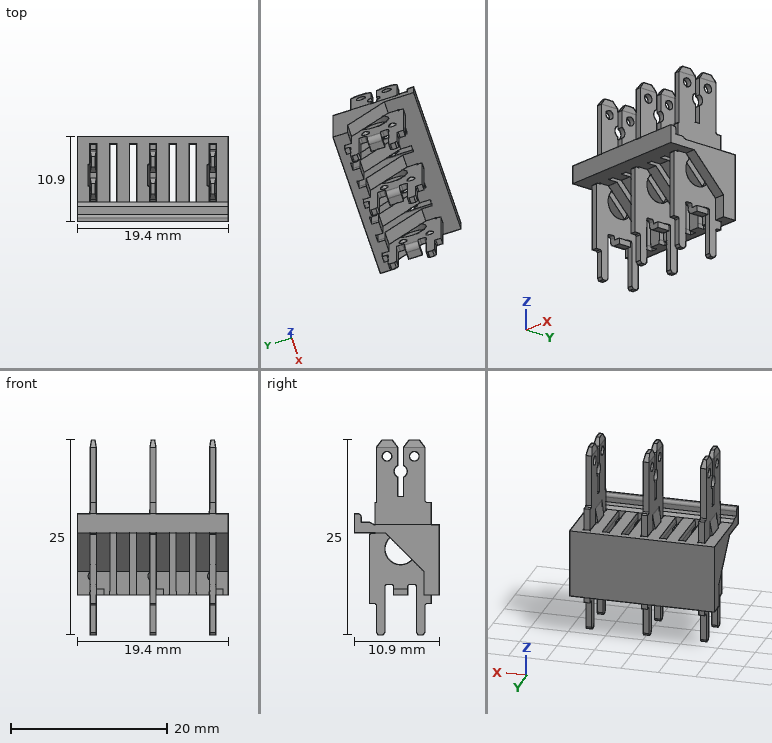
import cadquery as cq


housing_length = 19.35
back_y = 4.98
leg_front_y = 2.98
lip_front_y = -5.92
lip_thickness = 0.88
lip_back_y = lip_front_y + lip_thickness
lip_top_z = 15.55
lip_round_radius = 0.42
deck_top_z = 14.15
deck_thickness = 1.05
deck_bottom_z = deck_top_z - deck_thickness
housing_bottom_z = 5.12
gusset_bottom_z = 8.15
gusset_run = deck_bottom_z - gusset_bottom_z
step_start_y = -3.4
step_end_y = -4.0
step_height = 0.32

terminal_count = 3
slots_per_pitch = 3
slot_pitch = 2.55
terminal_pitch = slots_per_pitch * slot_pitch
slot_count = (terminal_count - 1) * slots_per_pitch + 1
slot_width = 0.85
slot_back_y = 3.92
slot_front_y = step_start_y
lead_in_side = 0.05
lead_in_back = 0.12
lead_in_depth = 0.6

terminal_thickness = 0.8
blade_half_width = 3.12
blade_bottom_z = 17.0
blade_top_z = 25.0
tip_height = 0.95
tip_inset = 0.72
tip_thickness = 0.48
upper_front_y = -3.3
lower_front_y = -4.0
front_shoulder_z = 13.02
tail_shoulder_z = 4.02
corner_relief = 0.18

blade_slot_width = 0.7
blade_slot_bottom_z = 17.78
relief_diameter = 1.65
relief_z = 20.98
finger_hole_diameter = 1.2
finger_hole_y = 1.75
finger_hole_z = 22.9
window_diameter = 4.0
window_z = 11.02

pin_outer_y = 3.12
pin_inner_y = 2.0
pin_tip_chamfer = 0.25
pin_tip_height = 0.35
web_bottom_z = 6.48
web_corner_radius = 0.25

tab_width = 1.85
tab_reach = 1.35
tab_bend_z = housing_bottom_z + terminal_thickness

latch_top_z = 16.12
latch_bottom_z = 13.35
latch_top_half_width = 1.5
latch_bottom_half_width = 1.28
latch_slope = 0.15

dome_y_positions = (1.1, -2.5)
dome_z = 7.55
dome_base_radius = 0.52
dome_height = 0.25


def extrude_profile(points, thickness):
    """Extrude a (Y, Z) outline by `thickness`, centred on X = 0."""
    return cq.Workplane("YZ").polyline(points).close().extrude(thickness / 2, both=True)


def cross_cylinder(diameter, y, z):
    """Cylinder along X that passes through a terminal."""
    return (
        cq.Workplane("YZ")
        .center(y, z)
        .circle(diameter / 2)
        .extrude(terminal_thickness, both=True)
    )


def housing_block():
    outline = [
        (back_y, housing_bottom_z),
        (back_y, deck_top_z),
        (step_start_y, deck_top_z),
        (step_end_y, deck_top_z + step_height),
        (lip_back_y, deck_top_z + step_height),
        (lip_back_y, lip_top_z),
        (lip_front_y, lip_top_z),
        (lip_front_y, deck_bottom_z),
        (leg_front_y - gusset_run, deck_bottom_z),
        (leg_front_y, gusset_bottom_z),
        (leg_front_y, housing_bottom_z),
    ]
    block = extrude_profile(outline, housing_length)
    lip_back_edge = cq.selectors.NearestToPointSelector((0, lip_back_y, lip_top_z))
    return block.edges(lip_back_edge).fillet(lip_round_radius)


def slot_lead_in(mouth_z, inner_z, mouth_back_y):
    """Mouth of a slot, tapering from mouth_z to the plain slot at inner_z."""
    mouth_length = mouth_back_y - slot_front_y
    inner_length = slot_back_y - slot_front_y
    return (
        cq.Workplane("XY", origin=(0, slot_front_y + mouth_length / 2, mouth_z))
        .rect(slot_width + 2 * lead_in_side, mouth_length)
        .workplane(offset=inner_z - mouth_z)
        .center(0, (inner_length - mouth_length) / 2)
        .rect(slot_width, inner_length)
        .loft(ruled=True)
    )


def slot_cutter():
    straight = (
        cq.Workplane("XY", origin=(0, (slot_back_y + slot_front_y) / 2, housing_bottom_z))
        .rect(slot_width, slot_back_y - slot_front_y)
        .extrude(deck_top_z - housing_bottom_z)
    )
    top = slot_lead_in(deck_top_z, deck_top_z - lead_in_depth, slot_back_y + lead_in_back)
    bottom = slot_lead_in(housing_bottom_z, housing_bottom_z + lead_in_depth, slot_back_y)
    return straight.union(top).union(bottom)


def tab_side_gap(side):
    """Round-cornered gap between the tab and the pin on one side."""
    width = pin_inner_y - tab_width / 2
    return (
        cq.Workplane("XY", origin=(0, side * (pin_inner_y - width / 2), 0))
        .box(terminal_thickness, width, web_bottom_z, centered=(True, True, False))
        .edges("|X and >Z")
        .fillet(web_corner_radius)
    )


def terminal_plate():
    """Stepped plate from the pin shoulders up to the blade."""
    outline = [
        (slot_back_y, tail_shoulder_z),
        (slot_back_y, blade_bottom_z),
        (blade_half_width + corner_relief, blade_bottom_z),
        (blade_half_width, blade_bottom_z + corner_relief),
        (blade_half_width, blade_top_z),
        (-blade_half_width, blade_top_z),
        (-blade_half_width, blade_bottom_z),
        (upper_front_y, blade_bottom_z),
        (upper_front_y, front_shoulder_z),
        (lower_front_y + corner_relief, front_shoulder_z),
        (lower_front_y, front_shoulder_z - corner_relief),
        (lower_front_y, tail_shoulder_z),
        (-pin_outer_y - corner_relief, tail_shoulder_z),
        (-pin_outer_y, tail_shoulder_z - corner_relief),
        (pin_outer_y, tail_shoulder_z - corner_relief),
        (pin_outer_y + corner_relief, tail_shoulder_z),
    ]
    plate = extrude_profile(outline, terminal_thickness)
    below_tab = cq.Workplane("XY").box(
        terminal_thickness, 2 * pin_inner_y, tab_bend_z, centered=(True, True, False)
    )
    plate = plate.cut(below_tab)
    for side in (1, -1):
        plate = plate.cut(tab_side_gap(side))
    return plate


def pin(side):
    """Solder pin on the +Y (side = 1) or -Y (side = -1) half of a terminal."""
    outline = [
        (side * pin_inner_y, tail_shoulder_z),
        (side * pin_inner_y, pin_tip_height),
        (side * (pin_inner_y + pin_tip_chamfer), 0),
        (side * (pin_outer_y - pin_tip_chamfer), 0),
        (side * pin_outer_y, pin_tip_height),
        (side * pin_outer_y, tail_shoulder_z),
    ]
    return extrude_profile(outline, terminal_thickness)


def finger_tip(side):
    """Tapered end of one blade finger."""
    inner_y = blade_slot_width / 2
    width = blade_half_width - inner_y
    centre_y = side * (inner_y + width / 2)
    return (
        cq.Workplane("XY", origin=(0, centre_y, blade_top_z - tip_height))
        .rect(terminal_thickness, width)
        .workplane(offset=tip_height)
        .rect(tip_thickness, width - 2 * tip_inset)
        .loft(ruled=True)
    )


def folded_tab():
    """Fold that turns the tab to +X with a rounded outer bend."""
    bend_start_x = -terminal_thickness / 2
    return (
        cq.Workplane("XZ", origin=(0, tab_width / 2, 0))
        .moveTo(bend_start_x, tab_bend_z)
        .radiusArc((bend_start_x + terminal_thickness, housing_bottom_z), -terminal_thickness)
        .lineTo(tab_reach, housing_bottom_z)
        .lineTo(tab_reach, tab_bend_z)
        .close()
        .extrude(tab_width)
    )


def latch():
    """Sloping latch whose lower end is buried in the housing deck."""
    face = extrude_profile(
        [
            (latch_top_half_width, latch_top_z),
            (-latch_top_half_width, latch_top_z),
            (-latch_bottom_half_width, latch_bottom_z),
            (latch_bottom_half_width, latch_bottom_z),
        ],
        2 * terminal_thickness,
    )
    blade_face_x = -terminal_thickness / 2
    reach = latch_slope * (latch_top_z - latch_bottom_z)
    wedge = (
        cq.Workplane("XZ")
        .polyline(
            [
                (0, latch_top_z),
                (blade_face_x, latch_top_z),
                (blade_face_x - reach, latch_bottom_z),
                (0, latch_bottom_z),
            ]
        )
        .close()
        .extrude(latch_top_half_width, both=True)
    )
    return wedge.intersect(face)


def dome(y):
    """Spherical bump on the -X face of a terminal, revolved about its own X axis."""
    radius = (dome_base_radius**2 + dome_height**2) / (2 * dome_height)
    face_x = -terminal_thickness / 2
    crown = (face_x - dome_height, 0)
    return (
        cq.Workplane("XY", origin=(0, y, dome_z))
        .lineTo(*crown)
        .radiusArc((face_x, dome_base_radius), radius)
        .lineTo(0, dome_base_radius)
        .close()
        .revolve(360, (0, 0), (1, 0))
    )


def terminal():
    body = terminal_plate()
    tip_zone = cq.Workplane("XY", origin=(0, 0, blade_top_z - tip_height)).box(
        terminal_thickness, 2 * blade_half_width, tip_height, centered=(True, True, False)
    )
    body = body.cut(tip_zone)
    for side in (1, -1):
        body = body.union(pin(side)).union(finger_tip(side))
    blade_slot = cq.Workplane("XY", origin=(0, 0, blade_slot_bottom_z)).box(
        terminal_thickness, blade_slot_width, blade_top_z, centered=(True, True, False)
    )
    body = body.cut(blade_slot)
    body = body.cut(cross_cylinder(relief_diameter, 0, relief_z))
    body = body.cut(cross_cylinder(window_diameter, 0, window_z))
    for side in (1, -1):
        body = body.cut(cross_cylinder(finger_hole_diameter, side * finger_hole_y, finger_hole_z))
    body = body.union(folded_tab()).union(latch())
    for y in dome_y_positions:
        body = body.union(dome(y))
    return body


def centred_positions(count, pitch):
    return [(i - (count - 1) / 2) * pitch for i in range(count)]


housing = housing_block()
slot = slot_cutter()
for x in centred_positions(slot_count, slot_pitch):
    housing = housing.cut(slot.translate((x, 0, 0)))

result = housing
single_terminal = terminal()
for x in centred_positions(terminal_count, terminal_pitch):
    result = result.union(single_terminal.translate((x, 0, 0)))